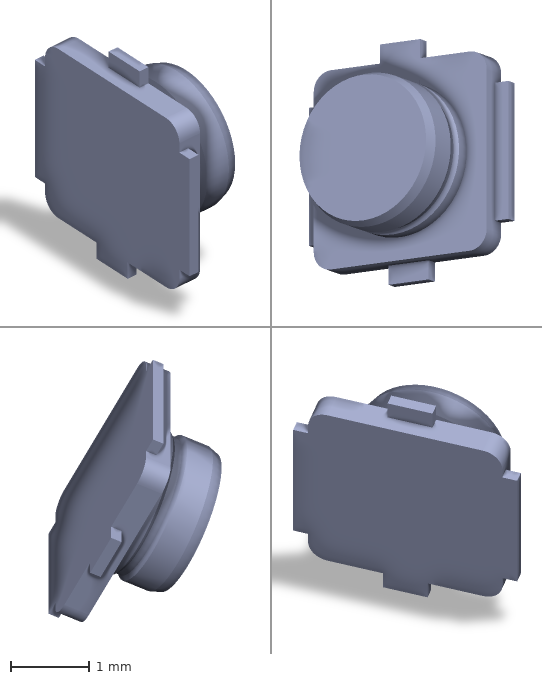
import cadquery as cq

total_width = 3.0
total_depth = 1.25
total_height = 3.1

plate_side = 2.6
plate_thickness = 0.35
plate_corner_radius = 0.257

tab_thickness = 0.15
side_tab_height = 1.8
end_tab_width = 0.6
upper_tab_start = 0.2

barrel_radius = 1.0
rim_bevel_length = 0.15
rim_bevel_depth = 0.05
groove_depth = 0.053
groove_start = 0.535
groove_width = 0.198
groove_slope = 0.05

step_top = 1.01
step_thickness = 0.02


def block(width, height, thickness, z_center=0, y_start=0):
    """Box centred on X, starting at y_start and growing toward +Y."""
    return (
        cq.Workplane("XY")
        .box(width, thickness, height, centered=(True, False, True))
        .translate((0, y_start, z_center))
    )


def make_plate():
    plate = block(plate_side, plate_side, plate_thickness)
    return plate.edges("|Y").fillet(plate_corner_radius)


def make_side_tabs():
    """One bar through the plate forms both side tabs."""
    return block(total_width, side_tab_height, tab_thickness)


def make_end_tab(direction, y_start):
    """Tab from the plate centre out to the top (+1) or bottom (-1) end."""
    length = total_height / 2
    return block(end_tab_width, length, tab_thickness, direction * length / 2, y_start)


def make_step():
    """Step as wide as the end tabs; only its upper corners show beyond the barrel."""
    thickness = plate_thickness + step_thickness
    return block(end_tab_width, step_top, thickness, step_top / 2)


def make_barrel():
    """Barrel profile (radius, Y) revolved about the Y axis."""
    groove_end = groove_start + groove_width
    groove_radius = barrel_radius - groove_depth
    profile = [
        (0, 0),
        (barrel_radius, 0),
        (barrel_radius, groove_start),
        (groove_radius, groove_start + groove_slope),
        (groove_radius, groove_end - groove_slope),
        (barrel_radius, groove_end),
        (barrel_radius, total_depth - rim_bevel_length),
        (barrel_radius - rim_bevel_depth, total_depth),
        (0, total_depth),
    ]
    return cq.Workplane("XY").polyline(profile).close().revolve(360, (0, 0), (0, 1))


result = (
    make_plate()
    .union(make_side_tabs())
    .union(make_end_tab(1, upper_tab_start))
    .union(make_end_tab(-1, 0))
    .union(make_step())
    .union(make_barrel())
)